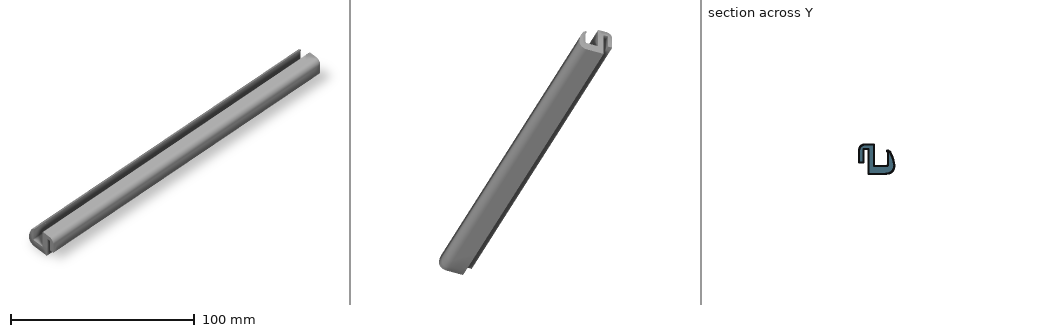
import math

import cadquery as cq

length = 200.0
width = 19.4
height = 16.2
quarter_turn = 90.0

web_thickness = 3.3
slot_width = 2.6
lip_thickness = 2.5
lip_bottom = 6.1
cap_thickness = 2.8
cap_radius = 3.3
web_corner_radius = 0.3

floor_thickness = 4.5
heel_radius = 4.5
heel_overrun = 8.0
channel_radius = 0.8
web_root_radius = 0.3
hook_inner_x = 3.7
barb_projection = 0.5
barb_bottom = 12.0
tip_top = 13.2
shoulder_x = 2.4
shoulder_z = 12.1

lip_inner_x = width - lip_thickness
web_outer_x = lip_inner_x - slot_width
web_inner_x = web_outer_x - web_thickness
slot_top = height - cap_thickness
heel_top_angle = math.radians(heel_overrun)
heel_top_x = heel_radius * (1 - math.cos(heel_top_angle))
heel_top_z = heel_radius * (1 + math.sin(heel_top_angle))
tip_x = hook_inner_x + barb_projection


def round_corner(outline, center, radius, start_angle):
    """Add a counterclockwise quarter arc to the outline, with a line leading to it."""

    def point_at(angle):
        radians = math.radians(angle)
        return center[0] + radius * math.cos(radians), center[1] + radius * math.sin(radians)

    outline = outline.lineTo(*point_at(start_angle))
    return outline.threePointArc(point_at(start_angle + quarter_turn / 2), point_at(start_angle + quarter_turn))


def add_web_and_lip(outline):
    """Go up the outer web face, around the slot and lip, and over the cap."""
    outline = (
        outline.lineTo(web_outer_x, 0)
        .lineTo(web_outer_x, slot_top)
        .lineTo(lip_inner_x, slot_top)
        .lineTo(lip_inner_x, lip_bottom)
        .lineTo(width, lip_bottom)
    )
    outline = round_corner(outline, (width - cap_radius, height - cap_radius), cap_radius, 0)
    web_corner_center = (web_inner_x + web_corner_radius, height - web_corner_radius)
    return round_corner(outline, web_corner_center, web_corner_radius, quarter_turn)


def add_channel_and_hook(outline):
    """Go along the channel floor, up the hook's inner face and over its tip to the shoulder."""
    return (
        outline.lineTo(web_inner_x, floor_thickness + web_root_radius)
        .radiusArc((web_inner_x - web_root_radius, floor_thickness), web_root_radius)
        .lineTo(hook_inner_x + channel_radius, floor_thickness)
        .radiusArc((hook_inner_x, floor_thickness + channel_radius), channel_radius)
        .lineTo(hook_inner_x, barb_bottom)
        .lineTo(tip_x, barb_bottom)
        .lineTo(tip_x, tip_top)
        .lineTo(shoulder_x, shoulder_z)
    )


def add_flank_and_heel(outline):
    """Go down the curved flank, which runs tangent into the heel, and around to the base."""
    rise_x = shoulder_x - heel_top_x
    rise_z = shoulder_z - heel_top_z
    chord_angle = math.atan2(rise_x, rise_z)
    flank_radius = math.hypot(rise_x, rise_z) / (2 * math.sin(chord_angle - heel_top_angle))
    outline = outline.radiusArc((heel_top_x, heel_top_z), -flank_radius)
    return outline.radiusArc((heel_radius, 0), -heel_radius)


def build_profile():
    """Draw the closed profile, starting where the heel meets the base."""
    outline = cq.Workplane("XZ").moveTo(heel_radius, 0)
    outline = add_web_and_lip(outline)
    outline = add_channel_and_hook(outline)
    return add_flank_and_heel(outline).close()


result = build_profile().extrude(length / 2, both=True)